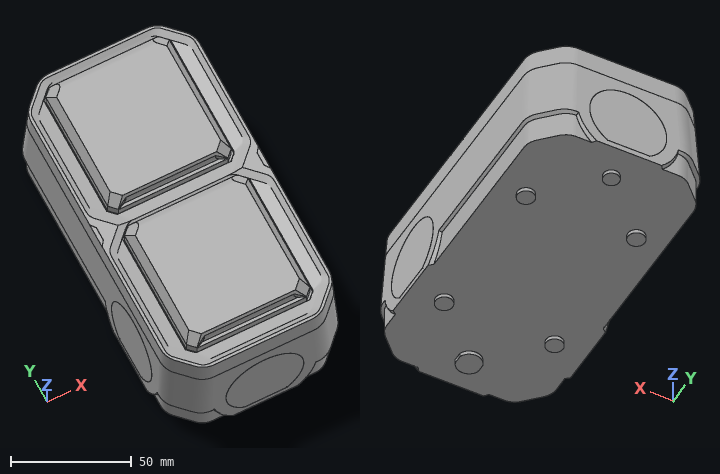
import cadquery as cq
import math

HALF_X = 41.7
HALF_Y = 77.2
MID_Z = 18.5
COVER_Z = 42.0
TOP_Z = 52.4
MID_LEAN = 0.8
COVER_LEAN = 1.93
TOP_LEAN = 2.5
CORNER = 12.2
CORNER_RADIUS = 10.7

FOOT_Z = 13.3
FOOT_STEP = 1.0
FOOT_INSET = 1.9
FOOT_RADIUS = 9.3
SURROUND_RADIUS = 23.6
SURROUND_FLARE = 1.0

ENTRY_Z = 18.0
PLUG_RADIUS = 18.0
PLUG_FLAT_Z = 3.0
PLUG_DEPTH = 4.6
OUTWARD = cq.Vector(1, 0, 0)

FEET_HEIGHT = 1.9
SIDE_FOOT_X = 26.0
SIDE_FOOT_RADIUS = 4.0
END_FOOT_Y = 61.8
REAR_FOOT_RADIUS = 3.7
FRONT_FOOT_RADIUS = 5.79
FRONT_FOOT_WIDTH = 10.8

UNIT_Y = 35.5
UNIT_CENTERS = [-UNIT_Y, UNIT_Y]

RIM_HALF = 37.8
FLOOR_HALF = 35.5
FLOOR_Z = 51.0
POCKET_CORNER = 11.3
POCKET_RADIUS = 6.2
WELL_RIM_Z = 50.0
WELL_BOTTOM_Z = 47.9
FLAP_GAP = 1.0
FLAP_BACK_GAP = 0.3
WELL_CORNER_RADIUS = 0.5

FLAP_HALF_X = 28.7
FLAP_FRONT_Y = -29.0
FLAP_BACK_Y = 33.4
FLAP_TOP_Z = 56.7
FLAP_TOP_HALF_X = 25.6
FLAP_TOP_FRONT_Y = -26.0
FLAP_BACK_RADIUS = 4.8
BEVEL_FRONT_Y = -26.9
BEVEL_Z = 55.3
CREASE_Y = -2.6
CREASE_DROP = 0.2
FLAP_CORNER = 3.2
FLAP_TOP_CORNER = 10.2

SCOOP_TOP_Z = 54.5
SCOOP_LIP_Y = -27.5
SCOOP_LIP_Z = 51.9
SCOOP_SAG = 0.23
SCOOP_BACK_HALF = 20.9
SCOOP_FRONT_HALF = 25.5

NOTCH_LENGTH = 11.3
NOTCH_FLOOR_LENGTH = 6.3
NOTCH_WIDTH = 1.9
NOTCH_DEPTH = 0.2
NOTCH_OVERRUN = 1.5


def outline(half_x, front_y, back_y, corner, radius, z):
    """Rectangle with cut corners at height z; a radius rounds both ends of each cut."""
    points = [
        (half_x - corner, front_y), (half_x, front_y + corner),
        (half_x, back_y - corner), (half_x - corner, back_y),
        (corner - half_x, back_y), (-half_x, back_y - corner),
        (-half_x, front_y + corner), (corner - half_x, front_y),
    ]
    wire = cq.Wire.makePolygon([cq.Vector(x, y, z) for x, y in points], close=True)
    if radius:
        wire = wire.fillet2D(radius, wire.Vertices())
    return wire


def loft(*wires):
    return cq.Workplane(cq.Solid.makeLoft(list(wires), True))


def box_outline(lean, z, radius=CORNER_RADIUS):
    half_y = HALF_Y - lean
    return outline(HALF_X - lean, -half_y, half_y, CORNER, radius, z)


def at_entries(make_body):
    """Copies of a body made for the distance of a wall from the axis, one at each cable entry."""
    side = make_body(HALF_X)
    end = make_body(HALF_Y)
    return [
        side.translate((0, -UNIT_Y, 0)),
        side.rotate((0, 0, 0), (0, 0, 1), 180).translate((0, -UNIT_Y, 0)),
        end.rotate((0, 0, 0), (0, 0, 1), 90),
        end.rotate((0, 0, 0), (0, 0, 1), -90),
    ]



def plug_blank(wall):
    inner_face = cq.Vector(wall - PLUG_DEPTH, 0, ENTRY_Z)
    disc = cq.Workplane(cq.Solid.makeCylinder(PLUG_RADIUS, PLUG_DEPTH, inner_face, OUTWARD))
    size = 2 * PLUG_RADIUS
    above_flat = cq.Workplane().box(2 * wall, size, size, centered=(True, True, False))
    return disc.intersect(above_flat.translate((0, 0, PLUG_FLAT_Z)))


def make_plugs():
    flush_block = loft(box_outline(0, 0), box_outline(COVER_LEAN, COVER_Z))
    return [blank.intersect(flush_block) for blank in at_entries(plug_blank)]



def surround_blank(wall):
    foot_wall = cq.Vector(wall - FOOT_INSET, 0, ENTRY_Z)
    flared_radius = SURROUND_RADIUS + SURROUND_FLARE
    return cq.Workplane(cq.Solid.makeCone(flared_radius, SURROUND_RADIUS, FOOT_INSET, foot_wall, OUTWARD))


def make_feet():
    top = cq.Workplane().workplane(offset=-FEET_HEIGHT)
    side_spots = [(x, y) for x in (-SIDE_FOOT_X, SIDE_FOOT_X) for y in UNIT_CENTERS]
    feet = top.pushPoints(side_spots).circle(SIDE_FOOT_RADIUS).extrude(FEET_HEIGHT)
    rear = top.center(0, END_FOOT_Y).circle(REAR_FOOT_RADIUS).extrude(FEET_HEIGHT)
    front = top.center(0, -END_FOOT_Y).circle(FRONT_FOOT_RADIUS).extrude(FEET_HEIGHT)
    flats = top.center(0, -END_FOOT_Y).rect(FRONT_FOOT_WIDTH, 2 * FRONT_FOOT_RADIUS).extrude(FEET_HEIGHT)
    return feet.union(rear).union(front.intersect(flats))


def make_base():
    lower_block = loft(box_outline(0, 0), box_outline(MID_LEAN, MID_Z))
    upper_block = loft(box_outline(MID_LEAN, MID_Z), box_outline(COVER_LEAN, COVER_Z))
    foot_lean = MID_LEAN * FOOT_Z / MID_Z
    foot = loft(
        box_outline(FOOT_INSET, 0, FOOT_RADIUS),
        box_outline(FOOT_INSET, FOOT_Z - FOOT_STEP, FOOT_RADIUS),
        box_outline(foot_lean, FOOT_Z),
    )
    belt = loft(box_outline(foot_lean, FOOT_Z), box_outline(MID_LEAN, MID_Z))
    base = upper_block.union(belt).union(foot)
    for surround in at_entries(surround_blank):
        base = base.union(surround.intersect(lower_block))
    for hole in at_entries(plug_blank):
        base = base.cut(hole)
    return base.union(make_feet())



def make_pocket():
    rim = outline(RIM_HALF, -RIM_HALF, RIM_HALF, POCKET_CORNER, POCKET_RADIUS, TOP_Z)
    floor = outline(FLOOR_HALF, -FLOOR_HALF, FLOOR_HALF, POCKET_CORNER, POCKET_RADIUS, FLOOR_Z)

    def well_outline(z):
        return outline(
            FLAP_HALF_X + FLAP_GAP, FLAP_FRONT_Y - FLAP_GAP, FLAP_BACK_Y + FLAP_BACK_GAP,
            FLAP_CORNER, WELL_CORNER_RADIUS, z,
        )

    wall = loft(floor, rim)
    slope = loft(well_outline(WELL_RIM_Z), floor)
    well = loft(well_outline(WELL_BOTTOM_Z), well_outline(WELL_RIM_Z))
    return wall.union(slope).union(well)


def make_notch(side):
    edge = side * (HALF_X - TOP_LEAN)
    inner = edge - side * NOTCH_WIDTH
    outer = edge + side * NOTCH_OVERRUN
    end = NOTCH_LENGTH / 2
    floor_end = NOTCH_FLOOR_LENGTH / 2
    return (
        cq.Workplane()
        .workplane(offset=TOP_Z - NOTCH_DEPTH)
        .polyline([
            (outer, -end), (edge, -end), (inner, -floor_end),
            (inner, floor_end), (edge, end), (outer, end),
        ])
        .close()
        .extrude(NOTCH_DEPTH)
    )


def make_cover():
    cover = loft(box_outline(COVER_LEAN, COVER_Z), box_outline(TOP_LEAN, TOP_Z))
    pocket = make_pocket()
    for y in UNIT_CENTERS:
        cover = cover.cut(pocket.translate((0, y, 0)))
    for side in (-1, 1):
        cover = cover.cut(make_notch(side))
    return cover



def make_scoop():
    middle_y = (BEVEL_FRONT_Y + SCOOP_LIP_Y) / 2 + SCOOP_SAG
    middle_z = (SCOOP_TOP_Z + SCOOP_LIP_Z) / 2 - SCOOP_SAG
    hollow = (
        cq.Workplane("YZ")
        .moveTo(BEVEL_FRONT_Y, FLAP_TOP_Z)
        .lineTo(BEVEL_FRONT_Y, SCOOP_TOP_Z)
        .threePointArc((middle_y, middle_z), (SCOOP_LIP_Y, SCOOP_LIP_Z))
        .lineTo(FLAP_FRONT_Y, SCOOP_LIP_Z)
        .lineTo(FLAP_FRONT_Y, FLAP_TOP_Z)
        .close()
        .extrude(SCOOP_FRONT_HALF, both=True)
    )
    span = (
        cq.Workplane()
        .workplane(offset=SCOOP_LIP_Z)
        .polyline([
            (-SCOOP_FRONT_HALF, FLAP_FRONT_Y), (SCOOP_FRONT_HALF, FLAP_FRONT_Y),
            (SCOOP_BACK_HALF, BEVEL_FRONT_Y), (-SCOOP_BACK_HALF, BEVEL_FRONT_Y),
        ])
        .close()
        .extrude(FLAP_TOP_Z - SCOOP_LIP_Z)
    )
    return hollow.intersect(span)


def make_flap(unit_y):
    arc = FLAP_BACK_RADIUS * math.sqrt(0.5)
    arc_y = FLAP_BACK_Y - FLAP_BACK_RADIUS
    arc_z = FLAP_TOP_Z - FLAP_BACK_RADIUS
    lengthwise = (
        cq.Workplane("YZ")
        .moveTo(FLAP_FRONT_Y, WELL_BOTTOM_Z)
        .lineTo(FLAP_FRONT_Y, TOP_Z)
        .lineTo(BEVEL_FRONT_Y, BEVEL_Z)
        .lineTo(FLAP_TOP_FRONT_Y, FLAP_TOP_Z - CREASE_DROP)
        .lineTo(CREASE_Y, FLAP_TOP_Z)
        .lineTo(arc_y, FLAP_TOP_Z)
        .threePointArc((arc_y + arc, arc_z + arc), (FLAP_BACK_Y, arc_z))
        .lineTo(FLAP_BACK_Y, WELL_BOTTOM_Z)
        .close()
        .extrude(FLAP_HALF_X, both=True)
    )
    crosswise = (
        cq.Workplane("XZ")
        .moveTo(-FLAP_HALF_X, WELL_BOTTOM_Z)
        .lineTo(-FLAP_HALF_X, TOP_Z)
        .lineTo(-FLAP_TOP_HALF_X, FLAP_TOP_Z)
        .lineTo(FLAP_TOP_HALF_X, FLAP_TOP_Z)
        .lineTo(FLAP_HALF_X, TOP_Z)
        .lineTo(FLAP_HALF_X, WELL_BOTTOM_Z)
        .close()
        .extrude(FLAP_BACK_Y, both=True)
    )

    def corner_outline(corner, z):
        return outline(FLAP_HALF_X, FLAP_FRONT_Y, FLAP_BACK_Y, corner, 0, z)

    cut_corners = loft(
        corner_outline(FLAP_CORNER, WELL_BOTTOM_Z),
        corner_outline(FLAP_CORNER, TOP_Z),
        corner_outline(FLAP_TOP_CORNER, FLAP_TOP_Z),
    )
    flap = lengthwise.intersect(crosswise).intersect(cut_corners).cut(make_scoop())
    return flap.translate((0, unit_y, 0))


base = make_base()
cover = make_cover()
plugs = make_plugs()
flaps = [make_flap(y) for y in UNIT_CENTERS]

bodies = [base, cover, *plugs, *flaps]
result = cq.Compound.makeCompound([body.solids().val() for body in bodies])